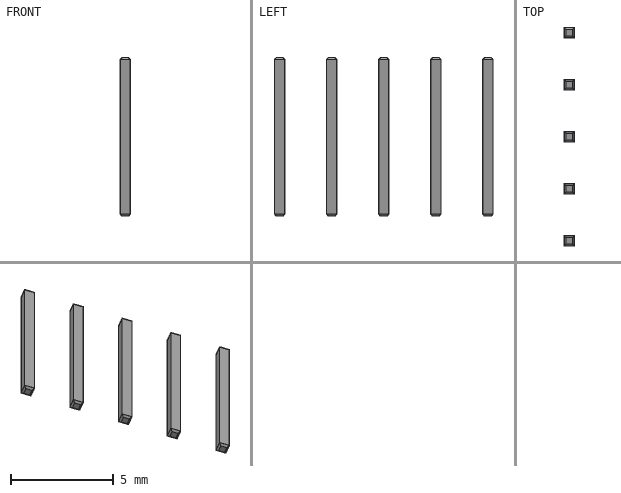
import cadquery as cq

pin_count = 5
row_length = 10.67
pin_width = 0.51
pin_height = 7.75
tip_chamfer = 0.1

pin_pitch = (row_length - pin_width) / (pin_count - 1)
first_pin_y = -pin_pitch * (pin_count - 1) / 2


def make_pin(center_y):
    """Square pin standing along Z, bevelled on all four sides at both ends."""
    bar = cq.Workplane("XY").box(pin_width, pin_width, pin_height)
    pin = bar.faces("<Z or >Z").edges().chamfer(tip_chamfer)
    return pin.translate((0, center_y, 0))


pins = []
for index in range(pin_count):
    pin = make_pin(first_pin_y + index * pin_pitch)
    pins.append(pin.val())

result = cq.Compound.makeCompound(pins)